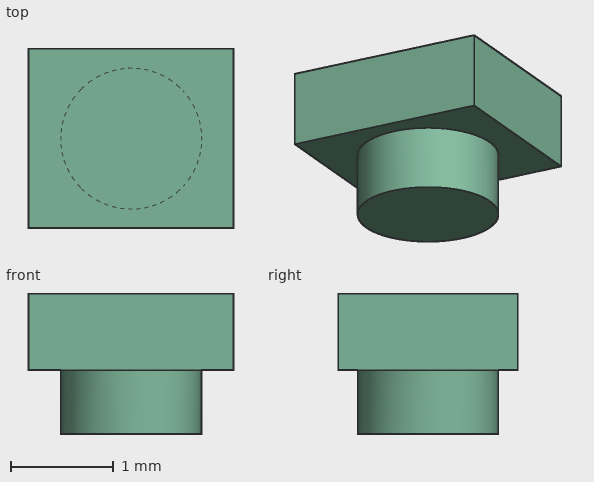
import cadquery as cq

block_length = 2.0
block_width = 1.75
overall_height = 1.37
peg_height = 0.625
peg_diameter = 1.375

block_height = overall_height - peg_height


def make_peg():
    """Round peg standing on the XY plane, centred on the Z axis."""
    return cq.Workplane("XY").circle(peg_diameter / 2).extrude(peg_height)


def make_block():
    """Rectangular head resting on top of the peg."""
    return (
        cq.Workplane("XY")
        .workplane(offset=peg_height)
        .rect(block_length, block_width)
        .extrude(block_height)
    )


result = make_peg().union(make_block())